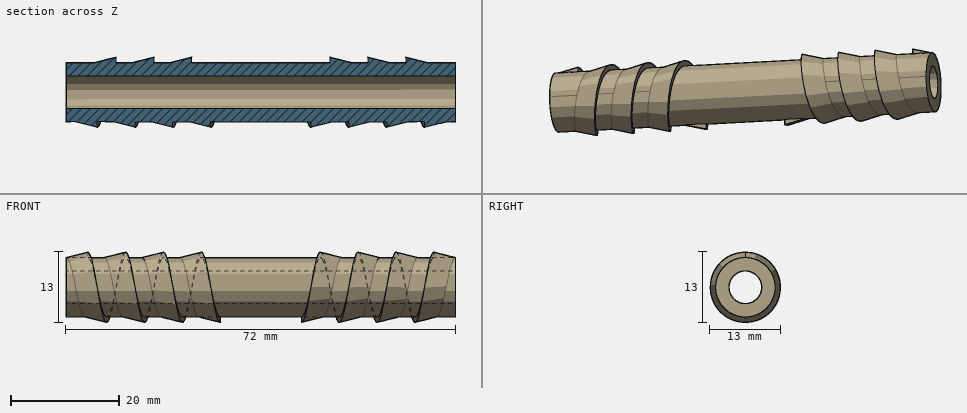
import cadquery as cq


length = 72.0
tube_diameter = 11.0
bore_diameter = 6.0

barb_diameter = 13.0
barb_pitch = 7.0
barb_turns = 3.5
barb_width = 4.0
barb_overlap = 0.5

tube_radius = tube_diameter / 2
barb_radius = barb_diameter / 2


def make_rod(diameter):
    """Full-length cylinder along X."""
    return cq.Workplane("YZ", origin=(-length / 2, 0, 0)).circle(diameter / 2).extrude(length)


def make_left_barb():
    """Helical barb starting on the +Z side of the -X end and turning towards -Y.

    Its section is a ramp rising away from the tube end to a sharp crest,
    which drops straight back to the tube surface.
    """
    root_radius = tube_radius - barb_overlap
    helix = cq.Wire.makeHelix(barb_pitch, barb_pitch * barb_turns, tube_radius)
    barb = (
        cq.Workplane("XZ")
        .moveTo(root_radius, 0)
        .lineTo(tube_radius, 0)
        .lineTo(barb_radius, barb_width)
        .lineTo(root_radius, barb_width)
        .close()
        .sweep(cq.Workplane(helix), isFrenet=True)
    )
    return barb.rotate((0, 0, 0), (1, 0, 1), 180).translate((-length / 2, 0, 0))


left_barb = make_left_barb()
right_barb = left_barb.mirror("YZ")
tube = make_rod(tube_diameter)
bore = make_rod(bore_diameter)
result = tube.union(left_barb).union(right_barb).cut(bore).solids()